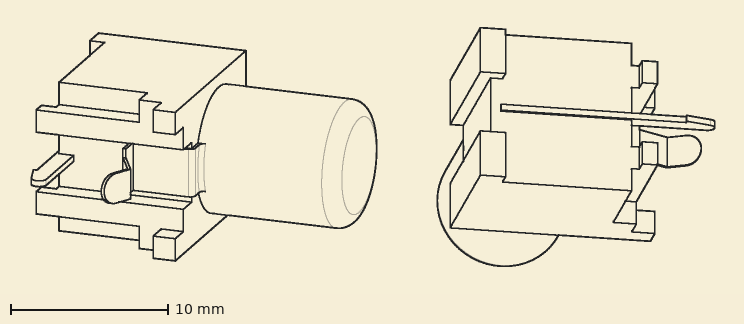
import cadquery as cq
import math


HOUSING_LENGTH = 10.0
HOUSING_HEIGHT = 10.0
HALF_HEIGHT = HOUSING_HEIGHT / 2
BACK_Y = 5.0
CORE_FRONT_Y = -5.0
RAIL_DEPTH = 1.5
RAIL_Y = CORE_FRONT_Y - RAIL_DEPTH
CHANNEL_HALF_WIDTH = 2.0
REAR_RECESS_DEPTH = 1.0
REAR_RECESS_TOP_Y = 3.37
REAR_RECESS_BOTTOM_Y = -5.5

STEP_WIDTH = 1.5
STEP_Z = HALF_HEIGHT - STEP_WIDTH
STEP_END_X = 7.0
FOOT_SIZE = 1.5
FOOT_Y = RAIL_Y - FOOT_SIZE

BARREL_DIAMETER = 8.3
BARREL_RADIUS = BARREL_DIAMETER / 2
BARREL_END_X = 19.5
BARREL_FILLET = 1.0

TERMINAL_TIP_Y = -10.5
PIN_THICKNESS = 0.4
PIN_TOP_Y = 3.5
PIN_LEFT_X = 0.8
PIN_RIGHT_X = 2.0
BARB_X = 0.55
BARB_Y = -8.5
PIN_TIP_LEFT_X = 1.0
PIN_TIP_START_Y = -10.1

SHEET = 0.2
STRIP_WIDTH = 3.2
TAB_X = 5.9
BEND_RADIUS = 0.35
STRIP_FRONT_Y = CORE_FRONT_Y - SHEET
STRIP_END_X = HOUSING_LENGTH + SHEET
BLEND_RADIUS = 0.3

SPRING_WIDTH = 2.0
SPRING_BEND_X = 7.15
SPRING_BEND_Y = BARB_Y


def box(x_range, y_range, z_range):
    """Box given by its lower and upper limit along each axis."""
    limits = (x_range, y_range, z_range)
    sizes = [high - low for low, high in limits]
    corner = [low for low, high in limits]
    return cq.Workplane("XY").box(*sizes, centered=False).translate(tuple(corner))


def extrude_about_mid_plane(outline, width):
    """Extrude an XY outline by the full width, centred on Z = 0."""
    return outline.extrude(width / 2, both=True)


def make_housing():
    full_z = (-HALF_HEIGHT, HALF_HEIGHT)
    channel_z = (-CHANNEL_HALF_WIDTH, CHANNEL_HALF_WIDTH)
    length = (0, HOUSING_LENGTH)

    housing = box(length, (RAIL_Y, BACK_Y), full_z)
    rear_recess_y = (REAR_RECESS_BOTTOM_Y, REAR_RECESS_TOP_Y)
    housing = housing.cut(box((0, REAR_RECESS_DEPTH), rear_recess_y, full_z))

    housing = housing.cut(box(length, (BARREL_RADIUS, BACK_Y), channel_z))
    housing = housing.cut(box(length, (RAIL_Y, CORE_FRONT_Y), channel_z))
    housing = housing.cut(box((0, REAR_RECESS_DEPTH), (REAR_RECESS_TOP_Y, BACK_Y), channel_z))

    for outer_z in ((STEP_Z, HALF_HEIGHT), (-HALF_HEIGHT, -STEP_Z)):
        housing = housing.cut(box((0, STEP_END_X), (RAIL_Y, CORE_FRONT_Y), outer_z))
        foot_x = (HOUSING_LENGTH - FOOT_SIZE, HOUSING_LENGTH)
        housing = housing.union(box(foot_x, (FOOT_Y, RAIL_Y), outer_z))
    return housing


def make_barrel():
    barrel = (
        cq.Workplane("YZ")
        .workplane(offset=HOUSING_LENGTH)
        .circle(BARREL_RADIUS)
        .extrude(BARREL_END_X - HOUSING_LENGTH)
    )
    return barrel.faces(">X").edges().fillet(BARREL_FILLET)


def make_center_pin():
    """Flat pin set into the rear wall, with a barb and a rounded tip."""
    tip_middle_x = (PIN_TIP_LEFT_X + PIN_RIGHT_X) / 2
    outline = (
        cq.Workplane("XY")
        .moveTo(PIN_LEFT_X, PIN_TOP_Y)
        .lineTo(PIN_LEFT_X, BARB_Y)
        .lineTo(BARB_X, BARB_Y)
        .lineTo(PIN_TIP_LEFT_X, PIN_TIP_START_Y)
        .threePointArc((tip_middle_x, TERMINAL_TIP_Y), (PIN_RIGHT_X, PIN_TIP_START_Y))
        .lineTo(PIN_RIGHT_X, PIN_TOP_Y)
        .close()
    )
    return extrude_about_mid_plane(outline, PIN_THICKNESS)


def make_barrel_fillet(strip_z):
    """Concave fillet that blends the bent end of the strip into the barrel."""
    outer_radius = BARREL_RADIUS + BLEND_RADIUS
    end_x = STRIP_END_X + BLEND_RADIUS
    arc_inset = BLEND_RADIUS * (1 - math.sqrt(0.5))
    ring = (
        cq.Workplane("XY")
        .moveTo(HOUSING_LENGTH, BARREL_RADIUS - SHEET)
        .lineTo(HOUSING_LENGTH, outer_radius)
        .lineTo(STRIP_END_X, outer_radius)
        .threePointArc((STRIP_END_X + arc_inset, BARREL_RADIUS + arc_inset), (end_x, BARREL_RADIUS))
        .lineTo(end_x, BARREL_RADIUS - SHEET)
        .close()
        .revolve(360, (0, 0, 0), (1, 0, 0))
    )
    return ring.intersect(box((HOUSING_LENGTH, end_x), (-outer_radius, 0), strip_z))


def make_ground_strip():
    """Sheet strip: a standing tab and a flat run bent up to the barrel at the housing end."""
    half_width = STRIP_WIDTH / 2
    strip_z = (-half_width, half_width)
    tab = box((TAB_X, TAB_X + SHEET), (RAIL_Y, CORE_FRONT_Y), strip_z)
    strip_top_y = -math.sqrt(BARREL_RADIUS**2 - half_width**2)
    run = box((TAB_X, STRIP_END_X), (STRIP_FRONT_Y, strip_top_y), strip_z)
    run = run.edges("|Z and >X and <Y").fillet(BEND_RADIUS)
    return tab.union(run).union(make_barrel_fillet(strip_z))


def make_spring_leg():
    """V-shaped leg that carries on from the tab and ends in a full round."""
    outline = (
        cq.Workplane("XY")
        .moveTo(TAB_X, RAIL_Y)
        .lineTo(SPRING_BEND_X - SHEET, SPRING_BEND_Y)
        .lineTo(TAB_X, TERMINAL_TIP_Y)
        .lineTo(TAB_X + SHEET, TERMINAL_TIP_Y)
        .lineTo(SPRING_BEND_X, SPRING_BEND_Y)
        .lineTo(TAB_X + SHEET, RAIL_Y)
        .close()
    )
    leg = extrude_about_mid_plane(outline, SPRING_WIDTH)

    half_width = SPRING_WIDTH / 2
    slope = math.atan2(SPRING_BEND_X - SHEET - TAB_X, SPRING_BEND_Y - TERMINAL_TIP_Y)
    round_length = half_width * math.cos(slope)
    round_y = TERMINAL_TIP_Y + round_length
    through = (0, HOUSING_LENGTH)
    straight = box(through, (round_y, RAIL_Y), (-half_width, half_width))
    end = (
        cq.Workplane("YZ")
        .center(round_y, 0)
        .ellipse(half_width, round_length, rotation_angle=90)
        .extrude(HOUSING_LENGTH)
    )
    return leg.intersect(straight.union(end))


result = (
    make_housing()
    .union(make_barrel())
    .union(make_center_pin())
    .union(make_ground_strip())
    .union(make_spring_leg())
)